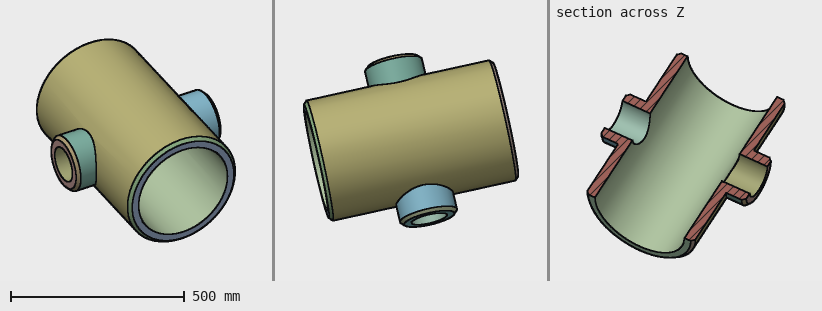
import cadquery as cq

run_length = 559.0
run_diameter = 355.5
run_bore = 293.0

branch_span = 476.5
branch_diameter = 169.0
branch_bore = 105.0

bevel = 10.0


def bevelled_bar(plane, diameter, length):
    """Solid round bar centred on the origin, bevelled at both ends."""
    bar = cq.Workplane(plane).circle(diameter / 2).extrude(length / 2, both=True)
    return bar.edges("%CIRCLE").chamfer(bevel)


def bore(plane, diameter, length):
    """Round cutter centred on the origin."""
    return cq.Workplane(plane).circle(diameter / 2).extrude(length / 2, both=True)


run = bevelled_bar("YZ", run_diameter, run_length)
branches = bevelled_bar("XZ", branch_diameter, branch_span)
body = run.union(branches)

result = body.cut(bore("YZ", run_bore, run_length))
result = result.cut(bore("XZ", branch_bore, branch_span))